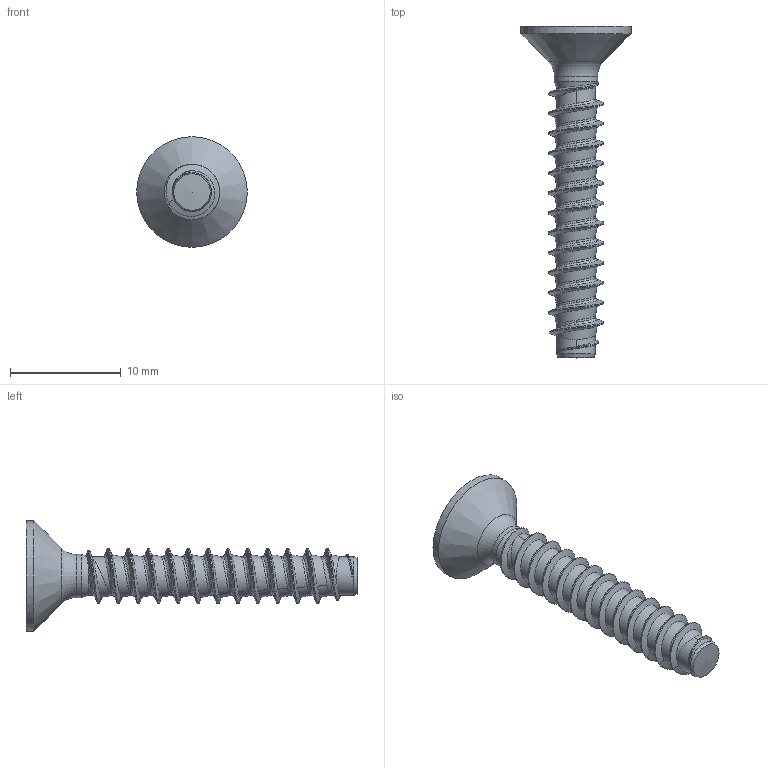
import cadquery as cq
import math

length = 30.0

head_radius = 5.0
rim_height = 0.7
head_half_angle = math.radians(45.0)
neck_blend_radius = 1.9

neck_radius = 1.95
neck_end_depth = 5.0
core_radius = 1.76
neck_taper_length = 0.6

tip_radius = 1.65
tip_taper_length = 0.3
tip_cone_height = 0.08

pitch = 1.8
crest_radius = 2.5
crest_width = 0.1
flank_base_radius = 1.93
flank_base_half_width = 0.25
root_radius = 1.73
head_side_foot = 0.5
tip_side_foot = 1.3

thread_start_depth = 4.75
thread_start_angle = -math.pi / 2
lead_in_turns = 1.0
full_turns = 11.5
run_out_turns = 1.3
thread_turns = lead_in_turns + full_turns + run_out_turns
sink_depth = crest_radius - root_radius
points_per_turn = 16


def make_blank():
    """Head, neck, core and tip as one turned body."""
    blend_drop = neck_blend_radius * (1 - math.cos(head_half_angle))
    cone_end_radius = neck_radius + blend_drop
    cone_length = (head_radius - cone_end_radius) / math.tan(head_half_angle)
    cone_end_depth = rim_height + cone_length
    blend_end_depth = cone_end_depth + neck_blend_radius * math.sin(head_half_angle)

    half_angle = head_half_angle / 2
    blend_middle = (
        neck_radius + neck_blend_radius * (1 - math.cos(half_angle)),
        -(blend_end_depth - neck_blend_radius * math.sin(half_angle)),
    )
    tip_edge_depth = length - tip_cone_height
    profile = (
        cq.Workplane("ZY")
        .moveTo(0, 0)
        .lineTo(head_radius, 0)
        .lineTo(head_radius, -rim_height)
        .lineTo(cone_end_radius, -cone_end_depth)
        .threePointArc(blend_middle, (neck_radius, -blend_end_depth))
        .lineTo(neck_radius, -neck_end_depth)
        .lineTo(core_radius, -(neck_end_depth + neck_taper_length))
        .lineTo(core_radius, -(tip_edge_depth - tip_taper_length))
        .lineTo(tip_radius, -tip_edge_depth)
        .lineTo(0, -length)
        .close()
    )
    return profile.revolve(360, (0, 0, 0), (0, 1, 0))


def ridge_rise(turn):
    """Share of the full ridge reached: grows over the lead-in and fades over the run-out."""
    lead_in = math.sin(math.pi / 2 * min(turn / lead_in_turns, 1.0))
    run_out = min((thread_turns - turn) / run_out_turns, 1.0)
    return min(lead_in, run_out)


def ridge_section(turn):
    """Ridge corners at one turn as (axial offset from the crest, radius), head side first."""
    rise = ridge_rise(turn)
    drop = (1 - rise) * sink_depth
    foot_reach = flank_base_half_width + rise * (tip_side_foot - flank_base_half_width)
    return [
        (-head_side_foot, root_radius - drop),
        (-flank_base_half_width, flank_base_radius - drop),
        (-crest_width / 2, crest_radius - drop),
        (crest_width / 2, crest_radius - drop),
        (flank_base_half_width, flank_base_radius - drop),
        (foot_reach, root_radius - drop),
    ]


def ridge_corners(turn):
    """Ridge corners at one turn as points in space."""
    angle = thread_start_angle + 2 * math.pi * turn
    depth = thread_start_depth + pitch * turn
    return [
        cq.Vector(radius * math.cos(angle), -(depth + offset), radius * math.sin(angle))
        for offset, radius in ridge_section(turn)
    ]


def make_ridge_faces(start_turn, end_turn):
    """Ruled faces between neighbouring corner curves over about one turn."""
    span = end_turn - start_turn
    turns = [start_turn + span * step / points_per_turn for step in range(points_per_turn + 1)]
    corner_paths = zip(*[ridge_corners(turn) for turn in turns])
    curves = [cq.Edge.makeSpline(list(path), parameters=turns) for path in corner_paths]
    next_curves = curves[1:] + curves[:1]
    return [cq.Face.makeRuledSurface(a, b) for a, b in zip(curves, next_curves)]


def make_end_cap(turn):
    """Flat face closing the ridge at one of its ends."""
    return cq.Face.makeFromWires(cq.Wire.makePolygon(ridge_corners(turn), close=True))


def make_thread():
    """Helical ridge as one solid, assembled from faces of about one turn each."""
    count = math.ceil(thread_turns)
    stops = [thread_turns * index / count for index in range(count + 1)]
    faces = [make_end_cap(stops[0]), make_end_cap(stops[-1])]
    for start_turn, end_turn in zip(stops, stops[1:]):
        faces.extend(make_ridge_faces(start_turn, end_turn))
    return cq.Workplane("XY").newObject([cq.Solid.makeSolid(cq.Shell.makeShell(faces))])


result = make_blank().union(make_thread())